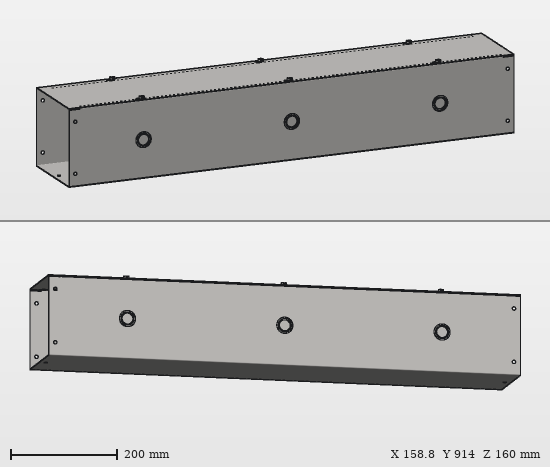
import cadquery as cq

LENGTH = 914.0
TROUGH_WIDTH = 156.0
TROUGH_HEIGHT = 154.0
SHEET = 1.6
BEND_RADIUS = 2.0
FLANGE_WIDTH = 13.0
FLANGE_END_GAP = 22.0

COVER_WIDTH = 153.0
COVER_TOP = TROUGH_HEIGHT + SHEET

SCREW_EDGE_OFFSET = 8.7
SCREW_SPACING = LENGTH / 3
HEAD_DIAMETER = 10.0
HEAD_HEIGHT = 4.4
DRIVE_SLOT_WIDTH = 3.0
DRIVE_SLOT_DEPTH = HEAD_HEIGHT / 2
SHANK_DIAMETER = 6.0
SHANK_LENGTH = 8.0

KEYHOLE_DIAMETER = 12.0
KEYHOLE_OFFSET = 5.5

OUTER_RIM_DIAMETER = 31.0
OUTER_RIM_RISE = 1.4
INNER_RIM_DIAMETER = 26.0
INNER_RIM_RISE = 1.0
KNOCKOUT_CENTRE_DIAMETER = 21.0
KNOCKOUT_HEIGHT = TROUGH_HEIGHT / 2

END_HOLE_DIAMETER = 6.0
END_HOLE_INSET = 13.0
END_HOLE_PITCH = 102.0

STATIONS = [row * SCREW_SPACING for row in (-1, 0, 1)]
SCREW_X = TROUGH_WIDTH / 2 - SCREW_EDGE_OFFSET
SCREW_POINTS = [(side * SCREW_X, y) for side in (-1, 1) for y in STATIONS]
END_HOLE_YS = [end * (LENGTH / 2 - END_HOLE_INSET) for end in (-1, 1)]
END_HOLE_ZS = [TROUGH_HEIGHT / 2 + half * END_HOLE_PITCH / 2 for half in (-1, 1)]


def block(size_x, size_y, size_z, z, y=0):
    """Block centred on X = 0 and on y, standing on height z."""
    return cq.Workplane("XY", origin=(0, y, z)).box(size_x, size_y, size_z, centered=(True, True, False))


def upright_cylinders(points, diameter, height, z):
    return cq.Workplane("XY", origin=(0, 0, z)).pushPoints(points).circle(diameter / 2).extrude(height)


def cross_cylinders(points, diameter, length):
    """Cylinders along X, centred on the middle of the trough."""
    return cq.Workplane("YZ").pushPoints(points).circle(diameter / 2).extrude(length / 2, both=True)


def build_channel():
    inner_width = TROUGH_WIDTH - 2 * SHEET
    inner_height = TROUGH_HEIGHT - 2 * SHEET
    channel = block(TROUGH_WIDTH, LENGTH, TROUGH_HEIGHT, 0).edges("|Y").fillet(BEND_RADIUS)
    hollow = block(inner_width, LENGTH, inner_height, SHEET).edges("|Y").fillet(BEND_RADIUS - SHEET)
    channel = channel.cut(hollow)
    channel = channel.cut(block(TROUGH_WIDTH - 2 * FLANGE_WIDTH, LENGTH, SHEET, TROUGH_HEIGHT - SHEET))
    notch_z = TROUGH_HEIGHT - BEND_RADIUS
    for end in (-1, 1):
        notch_y = end * (LENGTH - FLANGE_END_GAP) / 2
        channel = channel.cut(block(TROUGH_WIDTH, FLANGE_END_GAP, BEND_RADIUS, notch_z, notch_y))
    return channel


def add_knockouts(channel):
    points = [(y, KNOCKOUT_HEIGHT) for y in STATIONS]
    outer_span = TROUGH_WIDTH + 2 * OUTER_RIM_RISE
    inner_span = TROUGH_WIDTH + 2 * INNER_RIM_RISE
    outer_rims = cross_cylinders(points, OUTER_RIM_DIAMETER, outer_span)
    outer_rims = outer_rims.cut(cross_cylinders(points, INNER_RIM_DIAMETER, outer_span))
    inner_rims = cross_cylinders(points, INNER_RIM_DIAMETER, inner_span)
    inner_rims = inner_rims.cut(cross_cylinders(points, KNOCKOUT_CENTRE_DIAMETER, inner_span))
    between_walls = block(TROUGH_WIDTH - SHEET, LENGTH, TROUGH_HEIGHT, 0)
    return channel.union(outer_rims.union(inner_rims).cut(between_walls))


def build_trough():
    trough = add_knockouts(build_channel())
    trough = trough.cut(upright_cylinders(SCREW_POINTS, SHANK_DIAMETER, SHEET, TROUGH_HEIGHT - SHEET))
    wall_holes = [(y, z) for y in END_HOLE_YS for z in END_HOLE_ZS]
    trough = trough.cut(cross_cylinders(wall_holes, END_HOLE_DIAMETER, TROUGH_WIDTH))
    floor_holes = [(0, y) for y in END_HOLE_YS]
    return trough.cut(upright_cylinders(floor_holes, END_HOLE_DIAMETER, SHEET, 0))


def build_cover():
    cover = block(COVER_WIDTH, LENGTH, SHEET, TROUGH_HEIGHT)
    keyholes = [(x, y - KEYHOLE_OFFSET) for x, y in SCREW_POINTS]
    cover = cover.cut(upright_cylinders(SCREW_POINTS, SHANK_DIAMETER, SHEET, TROUGH_HEIGHT))
    return cover.cut(upright_cylinders(keyholes, KEYHOLE_DIAMETER, SHEET, TROUGH_HEIGHT))


def build_screw(x, y):
    """Slotted round-head screw, seated on the cover at (x, y)."""
    head = upright_cylinders([(0, 0)], HEAD_DIAMETER, HEAD_HEIGHT, COVER_TOP)
    slot_floor = COVER_TOP + HEAD_HEIGHT - DRIVE_SLOT_DEPTH
    head = head.cut(block(HEAD_DIAMETER, DRIVE_SLOT_WIDTH, DRIVE_SLOT_DEPTH, slot_floor))
    shank = upright_cylinders([(0, 0)], SHANK_DIAMETER, SHANK_LENGTH, COVER_TOP - SHANK_LENGTH)
    return head.union(shank).translate((x, y, 0))


trough = build_trough()
cover = build_cover()
screws = [build_screw(x, y) for x, y in SCREW_POINTS]
result = cq.Compound.makeCompound([trough.val(), cover.val(), *[screw.val() for screw in screws]])